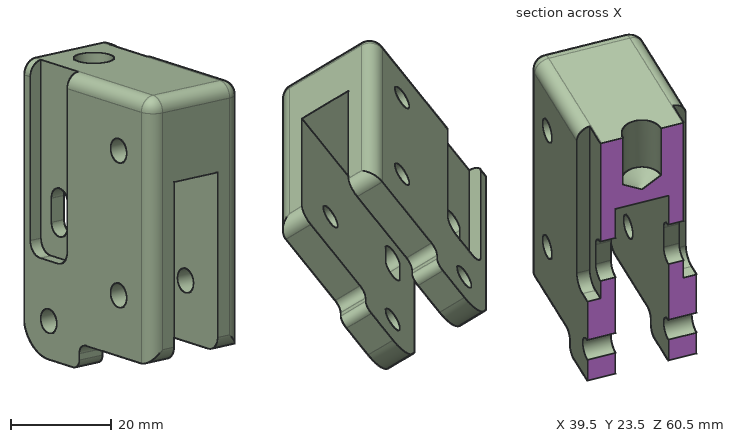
import cadquery as cq
import math

length = 39.55
width = 23.5
height = 60.5
edge_radius = 3.0

body_depth = 55.2
foot_length = 17.25
foot_radius = 2.0
pivot_x = 7.7
pivot_radius = 8.0
pivot_z = pivot_radius - height

slot_width = 11.3
roof_thickness = 17.95

pocket_width = 11.55
pocket_bottom = 40.0
pocket_depth = 2.8
pocket_radius = 3.0

cross_hole_diameter = 5.0
elongated_hole_length = 10.05
elongated_hole_z = -30.5
mount_hole_x = 29.5
mount_hole_depths = (12.5, 42.55)

drill_diameter = 8.1
drill_depth = 12.1
drill_point_angle = 118.0


def rounded_block():
    """Block with round long top edges and a round +X end."""
    block = cq.Workplane("XY").box(length, width, height, centered=(False, True, False))
    block = block.translate((0, 0, -height))
    long_top_edges = block.edges("|X and >Z")
    end_edges = block.edges("(>X and |Z) or (>X and >Z)")
    return block.newObject(long_top_edges.vals() + end_edges.vals()).fillet(edge_radius)


def round_corner(solid, x, z, radius):
    """Fillet the edge along Y that passes nearest to the point (x, z)."""
    corner = cq.selectors.NearestToPointSelector((x, 0, z))
    return solid.edges("|Y").edges(corner).fillet(radius)


def side_outline():
    """Side profile with the round pivot corner and the stepped foot."""
    arc_rise = math.sqrt(pivot_radius**2 - pivot_x**2)
    arc_start_angle = math.pi + math.asin(arc_rise / pivot_radius)
    arc_mid_angle = (arc_start_angle + 1.5 * math.pi) / 2
    arc_middle = (
        pivot_x + pivot_radius * math.cos(arc_mid_angle),
        pivot_z + pivot_radius * math.sin(arc_mid_angle),
    )
    profile = (
        cq.Workplane("XZ")
        .moveTo(0, 0)
        .lineTo(0, pivot_z - arc_rise)
        .threePointArc(arc_middle, (pivot_x, -height))
        .lineTo(foot_length, -height)
        .lineTo(foot_length, -body_depth)
        .lineTo(length, -body_depth)
        .lineTo(length, 0)
        .close()
        .extrude(width / 2, both=True)
    )
    profile = round_corner(profile, foot_length, -body_depth, foot_radius)
    profile = round_corner(profile, foot_length, -height, foot_radius)
    return round_corner(profile, length, -body_depth, edge_radius)


def fork_slot():
    slot_height = height - roof_thickness
    slot = cq.Workplane("XY").box(length, slot_width, slot_height, centered=(False, True, False))
    return slot.translate((0, 0, -height))


def side_pocket(side):
    """Open-topped pocket in the side face at Y = side * width / 2."""
    pocket = (
        cq.Workplane("XY")
        .box(pocket_width, pocket_depth, pocket_bottom, centered=(True, True, False))
        .edges("|Y and <Z")
        .fillet(pocket_radius)
    )
    return pocket.translate((pivot_x, side * (width - pocket_depth) / 2, -pocket_bottom))


def cross_holes():
    centres = [(pivot_x, pivot_z)]
    centres += [(mount_hole_x, -depth) for depth in mount_hole_depths]
    holes = (
        cq.Workplane("XZ")
        .pushPoints(centres)
        .circle(cross_hole_diameter / 2)
        .extrude(width / 2, both=True)
    )
    elongated = (
        cq.Workplane("XZ")
        .center(pivot_x, elongated_hole_z)
        .slot2D(elongated_hole_length, cross_hole_diameter, 90)
        .extrude(width / 2, both=True)
    )
    return holes.union(elongated)


def drilled_hole():
    """Blind hole with a conical drill point."""
    radius = drill_diameter / 2
    point_length = radius / math.tan(math.radians(drill_point_angle / 2))
    half_section = [(0, 0), (radius, 0), (radius, -drill_depth), (0, -drill_depth - point_length)]
    drill = cq.Workplane("XZ").polyline(half_section).close().revolve(360, (0, 0), (0, 1))
    return drill.translate((pivot_x, 0, 0))


result = rounded_block().intersect(side_outline()).cut(fork_slot())
for side in (-1, 1):
    result = result.cut(side_pocket(side))
result = result.cut(cross_holes()).cut(drilled_hole())